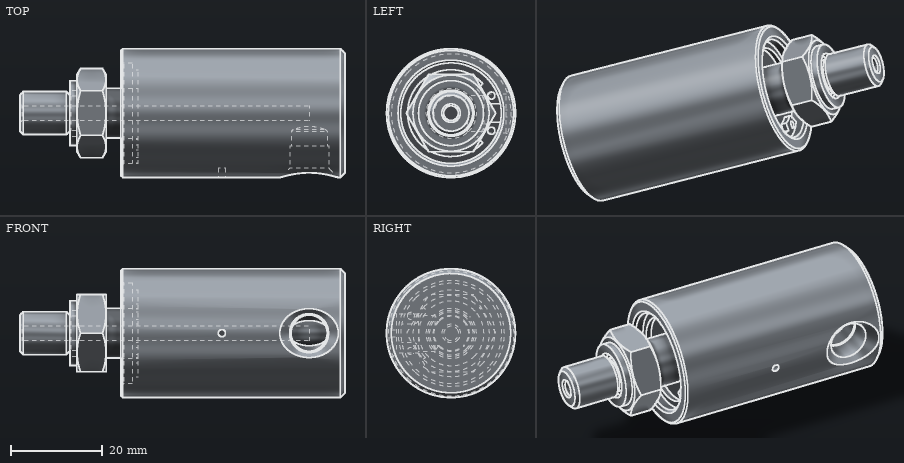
import cadquery as cq
import math

total_length = 71.5

thread_dia = 9.5
tip_dia = 7.9
undercut_dia = 7.6
thread_end_x = 10.2

collar_dia = 14.3
collar_start_x = 11.0
recess_dia = 10.15

nut_start_x = 12.5
nut_end_x = 19.0
nut_across_flats = 17.0
nut_face_dia = 16.7
nut_chamfer_angle = 30.0

shaft_dia = 11.0
bore_dia = 3.2
bore_mouth_dia = 4.1

body_dia = 28.4
body_start_x = 22.2
front_chamfer = 0.4
rear_chamfer = 1.1

seat_mouth_dia = 23.3
seat_dia = 22.1
seat_depth = 3.65

ring_inner_dia = 19.1
ring_thickness = 1.2
ring_gap = 4.1
ear_inner_dia = 15.6
ear_corner_radius = 1.1
ear_half_angle = 43.0
ear_hole_dia = 1.6
ear_hole_y = -8.85
ear_hole_z = 3.85

port_x = 63.55
port_mouth_dia = 12.9
port_dia = 8.6
port_drill_dia = 7.9
port_shoulder_y = -7.15
drill_point_y = -3.6
drill_point_angle = 118.0
journal_dia = 7.9

vent_x = 44.4
vent_dia = 1.6
vent_depth = 2.15


def cylinder_x(diameter, start_x, end_x):
    """Solid cylinder on the X axis between two stations."""
    plane = cq.Workplane("YZ", origin=(start_x, 0, 0))
    return plane.circle(diameter / 2).extrude(end_x - start_x)


def turned_x(profile):
    """Solid turned about the X axis from (x, diameter) stations."""
    first_x = profile[0][0]
    last_x = profile[-1][0]
    rim = [(x, diameter / 2) for x, diameter in profile]
    outline = [(first_x, 0)] + rim + [(last_x, 0)]
    return cq.Workplane("XY").polyline(outline).close().revolve(360, (0, 0), (1, 0))


def make_stem():
    tip_chamfer = (thread_dia - tip_dia) / 2
    undercut_x = thread_end_x + (thread_dia - undercut_dia) / 2
    return turned_x([
        (0, tip_dia),
        (tip_chamfer, thread_dia),
        (thread_end_x, thread_dia),
        (undercut_x, undercut_dia),
        (nut_start_x, undercut_dia),
    ])


def make_collar():
    collar = cylinder_x(collar_dia, collar_start_x, nut_start_x)
    return collar.cut(cylinder_x(recess_dia, collar_start_x, nut_start_x))


def make_nut():
    corner_dia = nut_across_flats / math.cos(math.radians(30))
    chamfer_slope = math.tan(math.radians(nut_chamfer_angle))
    chamfer_length = (corner_dia - nut_face_dia) / 2 * chamfer_slope
    hexagon = (
        cq.Workplane("YZ", origin=(nut_start_x, 0, 0))
        .polygon(6, corner_dia)
        .extrude(nut_end_x - nut_start_x)
    )
    envelope = turned_x([
        (nut_start_x, nut_face_dia),
        (nut_start_x + chamfer_length, corner_dia),
        (nut_end_x - chamfer_length, corner_dia),
        (nut_end_x, nut_face_dia),
    ])
    return hexagon.intersect(envelope)


def make_housing():
    housing = turned_x([
        (body_start_x, body_dia - 2 * front_chamfer),
        (body_start_x + front_chamfer, body_dia),
        (total_length - rear_chamfer, body_dia),
        (total_length, body_dia - 2 * rear_chamfer),
    ])
    seat = turned_x([
        (body_start_x, seat_mouth_dia),
        (body_start_x + (seat_mouth_dia - seat_dia) / 2, seat_dia),
        (body_start_x + seat_depth, seat_dia),
    ])
    return housing.cut(seat)


def make_retaining_ring():
    end_x = body_start_x + seat_depth
    start_x = end_x - ring_thickness
    ring = cylinder_x(seat_dia, start_x, end_x).cut(cylinder_x(ring_inner_dia, start_x, end_x))

    ears = cylinder_x(seat_dia, start_x, end_x).cut(cylinder_x(ear_inner_dia, start_x, end_x))
    wedge_half_width = seat_dia * math.tan(math.radians(ear_half_angle))
    wedge = (
        cq.Workplane("YZ", origin=(start_x, 0, 0))
        .polyline([(0, 0), (-seat_dia, wedge_half_width), (-seat_dia, -wedge_half_width)])
        .close()
        .extrude(ring_thickness)
    )
    ring = ring.union(ears.intersect(wedge))

    face = cq.Workplane("YZ", origin=(start_x, 0, 0))
    gap = face.center(-seat_dia / 2, 0).rect(seat_dia, ring_gap).extrude(ring_thickness)
    ear_holes = (
        face.pushPoints([(ear_hole_y, ear_hole_z), (ear_hole_y, -ear_hole_z)])
        .circle(ear_hole_dia / 2)
        .extrude(ring_thickness)
    )
    ring = ring.cut(gap).cut(ear_holes)

    corner_z = ring_gap / 2
    corner_y = -math.sqrt((ear_inner_dia / 2) ** 2 - corner_z ** 2)
    middle_x = start_x + ring_thickness / 2
    for side in (1, -1):
        corner = cq.NearestToPointSelector((middle_x, corner_y, side * corner_z))
        ring = ring.edges("|X").edges(corner).fillet(ear_corner_radius)
    return ring


def make_port():
    """Cutter for the side port, turned about the port axis."""
    surface_y = -body_dia / 2
    countersink_depth = (port_mouth_dia - port_dia) / 2
    point_length = port_drill_dia / 2 / math.tan(math.radians(drill_point_angle / 2))
    outline = [
        (port_x, surface_y),
        (port_x + port_mouth_dia / 2, surface_y),
        (port_x + port_dia / 2, surface_y + countersink_depth),
        (port_x + port_dia / 2, port_shoulder_y),
        (port_x + port_drill_dia / 2, port_shoulder_y),
        (port_x + port_drill_dia / 2, drill_point_y),
        (port_x, drill_point_y + point_length),
    ]
    profile = cq.Workplane("XY").polyline(outline).close()
    return profile.revolve(360, (port_x, 0), (port_x, 1))


def make_vent():
    plane = cq.Workplane("XZ", origin=(vent_x, -body_dia / 2, 0))
    return plane.circle(vent_dia / 2).extrude(-vent_depth)


def make_bore():
    return turned_x([
        (0, bore_mouth_dia),
        ((bore_mouth_dia - bore_dia) / 2, bore_dia),
        (port_x, bore_dia),
    ])


def make_shaft():
    """Shaft outside the housing, with the slimmer journal that it continues as at the port."""
    shaft = cylinder_x(shaft_dia, nut_end_x, body_start_x + seat_depth)
    journal = cylinder_x(journal_dia, body_start_x + seat_depth, port_x + port_dia / 2)
    return shaft.union(journal)


result = (
    make_housing()
    .cut(make_port())
    .cut(make_vent())
    .union(make_shaft())
    .union(make_retaining_ring())
    .union(make_nut())
    .union(make_collar())
    .union(make_stem())
    .cut(make_bore())
)